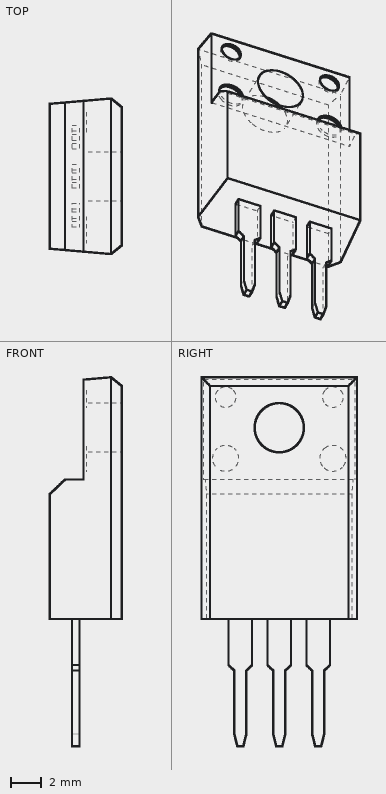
import cadquery as cq
import math

body_height = 15.8
body_depth = 4.7
body_width = 10.17
parting_x = 4.0
draft_angle = 5.0
back_side_inset = 0.57
back_top_drop = 0.57

tab_face_x = 2.2
shoulder_z = 9.12
shoulder_chamfer_depth = 1.0
shoulder_chamfer_height = 0.95

hole_diameter = 3.2
hole_z = 12.5
dimple_offset_y = 3.5
dimple_offset_z = 2.0
upper_dimple_diameter = 1.35
lower_dimple_diameter = 1.7
dimple_depth = 0.2

lead_count = 3
lead_pitch = 2.54
lead_length = 8.3
lead_thickness = 0.5
lead_x = 1.7
lead_embed = 1.0
lead_wide_width = 1.55
lead_narrow_width = 0.8
lead_tip_width = 0.4
lead_wide_length = 3.0
lead_shoulder_height = 0.35
lead_tip_length = 0.8

draft_slope = math.tan(math.radians(draft_angle))


def make_side_profile():
    """Body outline in the XZ plane, swept across the full width."""
    tab_top_z = body_height - (parting_x - tab_face_x) * draft_slope
    outline = [
        (0, 0),
        (body_depth, 0),
        (body_depth, body_height - back_top_drop),
        (parting_x, body_height),
        (tab_face_x, tab_top_z),
        (tab_face_x, shoulder_z),
        (shoulder_chamfer_depth, shoulder_z),
        (0, shoulder_z - shoulder_chamfer_height),
    ]
    return cq.Workplane("XZ").polyline(outline).close().extrude(body_width / 2, both=True)


def make_plan_profile():
    """Body outline in the XY plane, with drafted sides, swept up the full height."""
    parting_half = body_width / 2
    front_half = parting_half - parting_x * draft_slope
    back_half = parting_half - back_side_inset
    outline = [
        (0, -front_half),
        (parting_x, -parting_half),
        (body_depth, -back_half),
        (body_depth, back_half),
        (parting_x, parting_half),
        (0, front_half),
    ]
    return cq.Workplane("XY").polyline(outline).close().extrude(body_height)


def make_bore(diameter, y, z, depth):
    """Cylinder running in +X from the face of the mounting tab."""
    start = cq.Vector(tab_face_x, y, z)
    return cq.Workplane(cq.Solid.makeCylinder(diameter / 2, depth, start, cq.Vector(1, 0, 0)))


def make_body():
    body = make_side_profile().intersect(make_plan_profile())
    body = body.cut(make_bore(hole_diameter, 0, hole_z, body_depth - tab_face_x))
    upper_z = hole_z + dimple_offset_z
    lower_z = hole_z - dimple_offset_z
    for y in (-dimple_offset_y, dimple_offset_y):
        body = body.cut(make_bore(upper_dimple_diameter, y, upper_z, dimple_depth))
        body = body.cut(make_bore(lower_dimple_diameter, y, lower_z, dimple_depth))
    return body


def make_lead(center_y):
    """Flat lead with a wide upper part, a narrow shank and a tapered tip."""
    shank_top_z = -lead_wide_length - lead_shoulder_height
    half_outline = [
        (lead_wide_width / 2, lead_embed),
        (lead_wide_width / 2, -lead_wide_length),
        (lead_narrow_width / 2, shank_top_z),
        (lead_narrow_width / 2, lead_tip_length - lead_length),
        (lead_tip_width / 2, -lead_length),
    ]
    right_side = [(center_y + offset, z) for offset, z in half_outline]
    left_side = [(center_y - offset, z) for offset, z in reversed(half_outline)]
    return (
        cq.Workplane("YZ", origin=(lead_x, 0, 0))
        .polyline(right_side + left_side)
        .close()
        .extrude(lead_thickness / 2, both=True)
    )


result = make_body()
for index in range(lead_count):
    lead_y = (index - (lead_count - 1) / 2) * lead_pitch
    result = result.union(make_lead(lead_y))